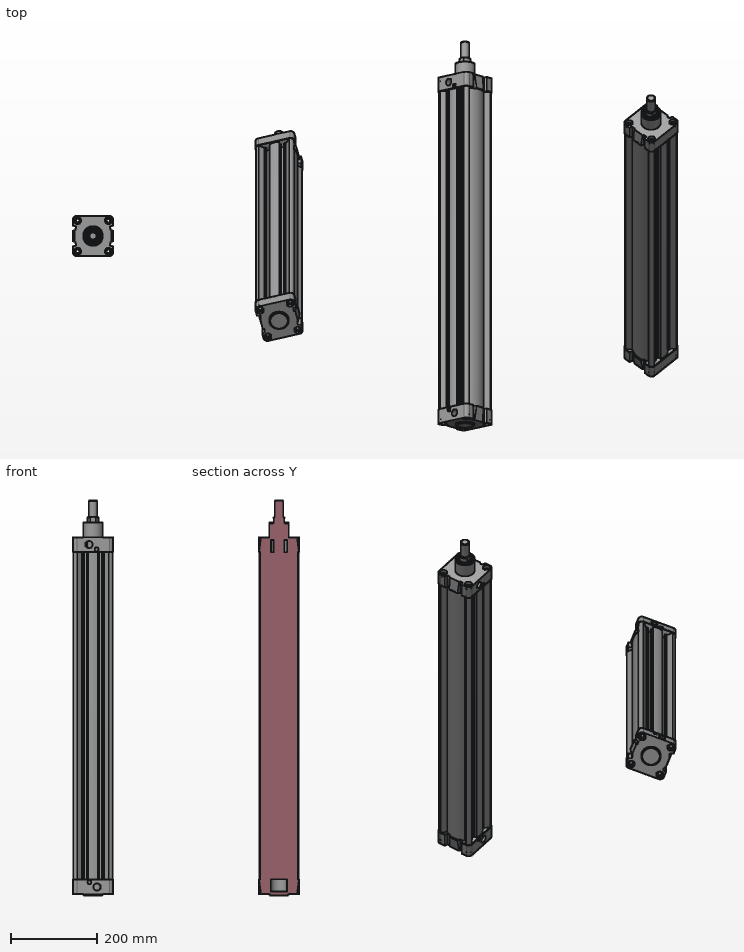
import cadquery as cq
import math

total_length = 918.0
side = 94.0
half_side = side / 2
corner_radius = 9.0
cap_height = 34.0
cap_edge_chamfer = 1.0

spigot_height = 4.0
spigot_radius = 23.0
spigot_chamfer = 3.0

thread_length = 39.0
thread_radius = 10.0
thread_chamfer = 2.0
rod_radius = 13.0
rod_end_chamfer = 2.0
flat_width = 22.0
rod_exposed = 13.0

collar_radius = 23.0
collar_length = 35.0
collar_chamfer = 1.4
wiper_seat_radius = 19.0
wiper_seat_depth = 3.0
wiper_radius = 16.5
wiper_height = 2.0

barrel_inset = 1.0
barrel_half_side = half_side - barrel_inset
barrel_arc_radius = 44.0
arc_half_width = 26.0
corner_flat_start = 37.0
slot_offset = 17.0
slot_mouth = 6.0
slot_width = 10.0
slot_relief_width = 12.0
slot_relief_depth = 5.0
slot_lip = 7.0
slot_depth = 13.0

screw_offset = 36.0
screw_recess_radius = 8.0
screw_recess_depth = 9.0
tie_hole_radius = 4.1
recess_half_width = 24.0
recess_floor_half_width = 22.0
recess_depth = 7.0
ramp_outer_rise = 3.0
ramp_base_half_width = 15.0
ramp_top_half_width = 12.0
port_offset = 9.0
port_radius = 8.0
port_from_end = 16.5
cushion_radius = 18.0
cushion_depth = 27.5
needle_offset = 8.0
needle_radius = 5.0
needle_depth = 4.0
needle_from_barrel = 6.0

barrel_bottom = spigot_height + cap_height
thread_bottom = total_length - thread_length
collar_top = thread_bottom - rod_exposed
wiper_seat_bottom = collar_top - wiper_seat_depth
head_top = collar_top - collar_length
barrel_top = head_top - cap_height
barrel_length = barrel_top - barrel_bottom


def cylinder(radius, bottom, height):
    return cq.Workplane("XY").workplane(offset=bottom).circle(radius).extrude(height)


def square_column(width, bottom, height):
    """Square column with rounded corners."""
    column = cq.Workplane("XY").workplane(offset=bottom).rect(width, width).extrude(height)
    return column.edges("|Z").fillet(corner_radius)


def corner_cylinders(radius, bottom, height):
    spacing = 2 * screw_offset
    plane = cq.Workplane("XY").workplane(offset=bottom)
    return plane.rect(spacing, spacing, forConstruction=True).vertices().circle(radius).extrude(height)


def make_side_channel():
    """Space outside the bulge of the +X side, between two corners of the barrel."""
    arc_edge = math.sqrt(barrel_arc_radius**2 - arc_half_width**2)
    return (
        cq.Workplane("XY").workplane(offset=barrel_bottom)
        .moveTo(barrel_half_side, -corner_flat_start)
        .lineTo(arc_edge, -arc_half_width)
        .threePointArc((barrel_arc_radius, 0), (arc_edge, arc_half_width))
        .lineTo(barrel_half_side, corner_flat_start)
        .lineTo(side, corner_flat_start)
        .lineTo(side, -corner_flat_start)
        .close().extrude(barrel_length)
    )


def slot_bar(width, y_start, y_end):
    """Bar over the whole barrel length, used to cut a slot."""
    plane = cq.Workplane("XY", origin=(0, (y_start + y_end) / 2, barrel_bottom))
    return plane.rect(width, y_end - y_start).extrude(barrel_length)


def make_sensor_slot():
    """T-slot in the -Y side, centred on X = 0."""
    slot_face = -math.sqrt(barrel_arc_radius**2 - slot_offset**2)
    floor = slot_face + slot_depth
    lip_back = slot_face + slot_lip
    mouth = slot_bar(slot_mouth, -side, floor)
    pocket = slot_bar(slot_width, lip_back, floor)
    relief = slot_bar(slot_relief_width, -side, slot_face + slot_relief_depth)
    return mouth.union(pocket).union(relief)


def make_barrel():
    barrel = square_column(2 * barrel_half_side, barrel_bottom, barrel_length)
    channel = make_side_channel()
    for quarter in range(4):
        barrel = barrel.cut(channel.rotate((0, 0, 0), (0, 0, 1), 90 * quarter))
    slot = make_sensor_slot()
    for x in (-slot_offset, slot_offset):
        front_slot = slot.translate((x, 0, 0))
        barrel = barrel.cut(front_slot).cut(front_slot.mirror("XZ"))
    return barrel


def make_side_recess():
    """Recess in the +X side of a cap, leaving a ramp that rises towards the barrel."""
    floor = half_side - recess_depth
    recess = (
        cq.Workplane("XY")
        .polyline([
            (floor, -recess_floor_half_width), (half_side, -recess_half_width),
            (half_side, recess_half_width), (floor, recess_floor_half_width),
        ])
        .close().extrude(cap_height)
    )
    ramp_profile = (
        cq.Workplane("XZ").moveTo(floor, 0)
        .lineTo(half_side, 0)
        .lineTo(floor + ramp_outer_rise, cap_height)
        .lineTo(floor, cap_height)
        .close().extrude(side, both=True)
    )
    ramp_sides = (
        cq.Workplane("XY")
        .polyline([
            (floor, -ramp_base_half_width), (half_side, -ramp_top_half_width),
            (half_side, ramp_top_half_width), (floor, ramp_base_half_width),
        ])
        .close().extrude(cap_height)
    )
    return recess.cut(ramp_profile.intersect(ramp_sides))


def front_hole(x, z, radius, depth):
    return cq.Workplane("XZ", origin=(x, -half_side, z)).circle(radius).extrude(-depth)


def make_cap():
    """Cap with its barrel end at Z = 0 and its outer end at Z = cap_height."""
    cap = square_column(side, 0, cap_height).faces("<Z").chamfer(cap_edge_chamfer)
    recess = make_side_recess()
    cap = cap.cut(recess).cut(recess.mirror("YZ"))
    screw_seat = cap_height - screw_recess_depth
    cap = cap.cut(corner_cylinders(screw_recess_radius, screw_seat, screw_recess_depth))
    cap = cap.cut(cylinder(cushion_radius, 0, cushion_depth))
    cap = cap.cut(front_hole(-port_offset, cap_height - port_from_end, port_radius, half_side))
    return cap.cut(front_hole(needle_offset, needle_from_barrel, needle_radius, needle_depth))


def make_collar():
    collar = cylinder(collar_radius, head_top, collar_length).faces(">Z").chamfer(collar_chamfer)
    collar = collar.cut(cylinder(wiper_seat_radius, wiper_seat_bottom, wiper_seat_depth))
    return collar.union(cylinder(wiper_radius, wiper_seat_bottom, wiper_height))


def make_rod():
    """Rod from the barrel up, with two wrench flats and a threaded end."""
    rod = cylinder(rod_radius, barrel_top, thread_bottom - barrel_top)
    rod = rod.faces(">Z").chamfer(rod_end_chamfer)
    flats_height = thread_bottom - collar_top
    flats = cq.Workplane("XY").workplane(offset=collar_top).rect(side, side).rect(side, flat_width)
    rod = rod.cut(flats.extrude(flats_height))
    thread = cylinder(thread_radius, thread_bottom, thread_length)
    return rod.union(thread.faces(">Z").chamfer(thread_chamfer))


cap = make_cap()
head = cap.translate((0, 0, barrel_top))
rear_cap = cap.rotate((0, 0, 0), (0, 1, 0), 180).translate((0, 0, barrel_bottom))
spigot = cylinder(spigot_radius, 0, spigot_height).faces("<Z").chamfer(spigot_chamfer)

body = make_barrel().union(head).union(rear_cap).union(spigot)
body = body.cut(corner_cylinders(tie_hole_radius, 0, total_length))
result = body.union(make_collar()).union(make_rod())